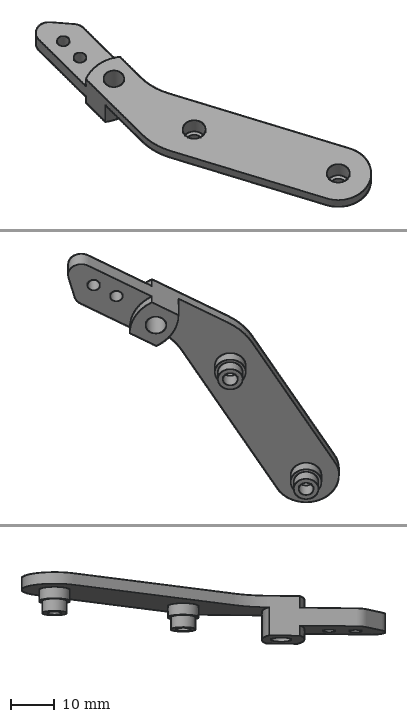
import cadquery as cq
import math

plate_width = 15.0
plate_thickness = 2.7
end_radius = plate_width / 2
bend_radius = 15.0
lower_bend_x = -42.1

arm_angle = 30
arm_width = 10.0
half_arm = arm_width / 2
pivot_distance = 20.2
pivot_diameter = 4.7

tongue_thickness = 4.2
tip_corner_distance = 18.2
tip_edge_angle = 45
tip_radius = 3.0
link_hole_diameter = 2.9
link_hole_distances = (11.0, 17.0)
link_hole_offset = -0.95

block_height = 9.2
block_length = 7.0
block_outer_distance = 4.0
block_end_radius = 10.0
block_bulge = block_end_radius - math.sqrt(block_end_radius**2 - half_arm**2)

boss_spacing = 35.0
collar_diameter = 7.0
collar_height = 2.6
pin_diameter = 5.6
pin_bottom = 8.05
bore_diameter = 3.4
counterbore_diameter = 5.2
counterbore_depth = 4.3

arm_x = -math.cos(math.radians(arm_angle))
arm_y = math.sin(math.radians(arm_angle))


def arm_point(along, across):
    """Point measured from the pivot, along the arm and across its centre line."""
    along_from_bend = pivot_distance + along
    across_from_edge = half_arm + across
    x = lower_bend_x + along_from_bend * arm_x + across_from_edge * arm_y
    y = -end_radius + along_from_bend * arm_y - across_from_edge * arm_x
    return (x, y)


def cylinder_down(centre, diameter, depth):
    """Vertical cylinder reaching from the top face down to the given depth."""
    return cq.Workplane("XY").center(*centre).circle(diameter / 2).extrude(-depth)


outer_lower = arm_point(block_outer_distance, -half_arm)
outer_middle = arm_point(block_outer_distance + block_bulge, 0)
outer_upper = arm_point(block_outer_distance, half_arm)
inner_distance = block_outer_distance - block_length
inner_lower = arm_point(inner_distance, -half_arm)
inner_middle = arm_point(inner_distance - block_bulge, 0)
inner_upper = arm_point(inner_distance, half_arm)


def make_plate():
    drop = outer_upper[1] - end_radius
    upper_bend_x = outer_upper[0] + drop / math.tan(math.radians(arm_angle))
    plate = (
        cq.Workplane("XY")
        .moveTo(0, -end_radius)
        .threePointArc((end_radius, 0), (0, end_radius))
        .lineTo(upper_bend_x, end_radius)
        .lineTo(*outer_upper)
        .threePointArc(outer_middle, outer_lower)
        .lineTo(lower_bend_x, -end_radius)
        .close()
        .extrude(-plate_thickness)
    )
    for bend in ((upper_bend_x, end_radius), (lower_bend_x, -end_radius)):
        nearest = cq.selectors.NearestToPointSelector((*bend, -plate_thickness / 2))
        plate = plate.edges("|Z").edges(nearest).fillet(bend_radius)
    return plate


def make_block():
    return (
        cq.Workplane("XY")
        .moveTo(*inner_upper)
        .lineTo(*outer_upper)
        .threePointArc(outer_middle, outer_lower)
        .lineTo(*inner_lower)
        .threePointArc(inner_middle, inner_upper)
        .close()
        .extrude(-block_height)
    )


def make_tongue():
    tip_length = arm_width / math.tan(math.radians(tip_edge_angle))
    upper_tip = arm_point(tip_corner_distance, half_arm)
    lower_tip = arm_point(tip_corner_distance + tip_length, -half_arm)
    tongue = (
        cq.Workplane("XY", origin=(0, 0, -plate_thickness))
        .polyline([arm_point(0, half_arm), upper_tip, lower_tip, arm_point(0, -half_arm)])
        .close()
        .extrude(-tongue_thickness)
    )
    middle_z = -plate_thickness - tongue_thickness / 2
    for tip in (upper_tip, lower_tip):
        nearest = cq.selectors.NearestToPointSelector((*tip, middle_z))
        tongue = tongue.edges("|Z").edges(nearest).fillet(tip_radius)
    return tongue


result = make_plate().union(make_block()).union(make_tongue())

for boss_centre in ((0, 0), (-boss_spacing, 0)):
    collar = cylinder_down(boss_centre, collar_diameter, plate_thickness + collar_height)
    pin = cylinder_down(boss_centre, pin_diameter, pin_bottom)
    bore = cylinder_down(boss_centre, bore_diameter, pin_bottom)
    counterbore = cylinder_down(boss_centre, counterbore_diameter, counterbore_depth)
    result = result.union(collar).union(pin).cut(bore).cut(counterbore)

result = result.cut(cylinder_down(arm_point(0, 0), pivot_diameter, block_height))
for distance in link_hole_distances:
    hole_centre = arm_point(distance, link_hole_offset)
    result = result.cut(cylinder_down(hole_centre, link_hole_diameter, block_height))